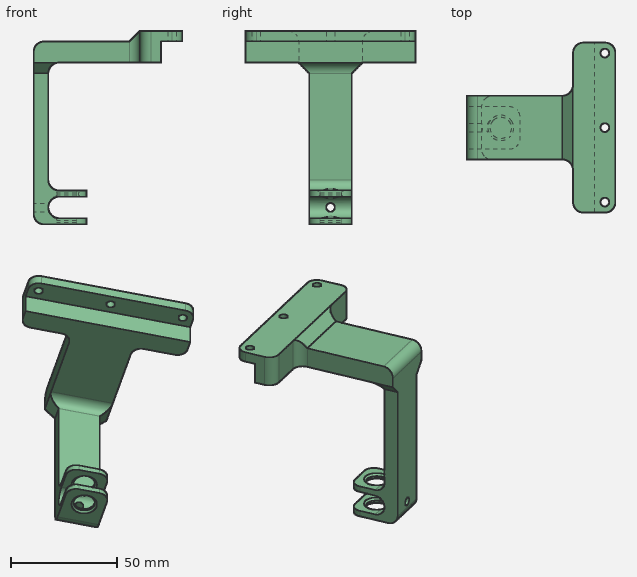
import cadquery as cq

TOTAL_LENGTH = 70.0
PLATE_WIDTH = 80.0
TOTAL_HEIGHT = 91.0

PLATE_LENGTH = 20.0
LIP_LENGTH = 10.0
LIP_THICKNESS = 5.0
MOUNT_HOLE_DIAMETER = 4.0
MOUNT_HOLE_EDGE_DISTANCE = 5.0

ARM_WIDTH = 30.0
ARM_THICKNESS = 10.0
ARM_DROP = 5.0

COLUMN_WIDTH = 20.0
COLUMN_THICKNESS = 7.0
FLARE_HEIGHT = 5.0

PRONG_REACH = 25.0
PRONG_THICKNESS = 3.0
PRONG_GAP = 10.0
PRONG_HOLE_DIAMETER = 10.0
PRONG_HOLE_CHAMFER = 1.0
COLUMN_HOLE_DIAMETER = 4.0

CORNER_RADIUS = 5.0

PLATE_X = TOTAL_LENGTH - PLATE_LENGTH
LIP_X = TOTAL_LENGTH - LIP_LENGTH
LIP_Z = TOTAL_HEIGHT - LIP_THICKNESS
ARM_TOP = TOTAL_HEIGHT - ARM_DROP
ARM_BOTTOM = ARM_TOP - ARM_THICKNESS
SLOPE_X = PLATE_X - ARM_DROP
FLARE_Z = ARM_BOTTOM - FLARE_HEIGHT
FORK_HEIGHT = 2 * PRONG_THICKNESS + PRONG_GAP
FORK_MID_Z = FORK_HEIGHT / 2
PRONG_HOLE_X = (COLUMN_THICKNESS + PRONG_REACH) / 2


def side_profile():
    """Full-width XZ profile of the bracket, with plain corners at the rounded bends."""
    outline = [
        (0, 0),
        (PRONG_REACH, 0),
        (PRONG_REACH, FORK_HEIGHT),
        (COLUMN_THICKNESS, FORK_HEIGHT),
        (COLUMN_THICKNESS, ARM_BOTTOM),
        (LIP_X, ARM_BOTTOM),
        (LIP_X, LIP_Z),
        (TOTAL_LENGTH, LIP_Z),
        (TOTAL_LENGTH, TOTAL_HEIGHT),
        (PLATE_X, TOTAL_HEIGHT),
        (SLOPE_X, ARM_TOP),
        (0, ARM_TOP),
    ]
    body = (
        cq.Workplane("XZ")
        .polyline(outline)
        .close()
        .extrude(PLATE_WIDTH / 2, both=True)
    )
    rounded_bends = [
        (0, 0),
        (0, ARM_TOP),
        (COLUMN_THICKNESS, FORK_HEIGHT),
        (COLUMN_THICKNESS, ARM_BOTTOM),
    ]
    for x, z in rounded_bends:
        bend = cq.selectors.NearestToPointSelector((x, 0, z))
        body = body.edges("|Y").edges(bend).fillet(CORNER_RADIUS)
    return body


def upper_envelope():
    """Plan shape of the arm and plate: a T with rounded corners."""
    height = TOTAL_HEIGHT - ARM_BOTTOM
    base = cq.Workplane("XY", origin=(0, 0, ARM_BOTTOM))
    plate = (
        base.center(PLATE_X + PLATE_LENGTH / 2, 0)
        .rect(PLATE_LENGTH, PLATE_WIDTH)
        .extrude(height)
        .edges("|Z")
        .fillet(CORNER_RADIUS)
    )
    arm_length = PLATE_X + PLATE_LENGTH / 2
    arm = base.center(arm_length / 2, 0).rect(arm_length, ARM_WIDTH).extrude(height)
    envelope = plate.union(arm)
    for y in (-ARM_WIDTH / 2, ARM_WIDTH / 2):
        inner_corner = cq.selectors.NearestToPointSelector((PLATE_X, y, ARM_BOTTOM + height / 2))
        envelope = envelope.edges("|Z").edges(inner_corner).fillet(CORNER_RADIUS)
    return envelope


def column_envelope():
    """YZ shape of the column, flared out to the arm width just below the arm."""
    return (
        cq.Workplane("YZ")
        .moveTo(-COLUMN_WIDTH / 2, 0)
        .lineTo(COLUMN_WIDTH / 2, 0)
        .lineTo(COLUMN_WIDTH / 2, FLARE_Z)
        .lineTo(ARM_WIDTH / 2, ARM_BOTTOM)
        .lineTo(-ARM_WIDTH / 2, ARM_BOTTOM)
        .lineTo(-COLUMN_WIDTH / 2, FLARE_Z)
        .close()
        .extrude(PRONG_REACH)
        .edges("|Z and >X")
        .fillet(CORNER_RADIUS)
    )


def fork_slot():
    """Gap between the prongs, closed by a half round at the column."""
    round_x = COLUMN_THICKNESS + PRONG_GAP / 2
    slot_top = PRONG_THICKNESS + PRONG_GAP
    return (
        cq.Workplane("XZ")
        .moveTo(PRONG_REACH, PRONG_THICKNESS)
        .lineTo(round_x, PRONG_THICKNESS)
        .threePointArc((COLUMN_THICKNESS, FORK_MID_Z), (round_x, slot_top))
        .lineTo(PRONG_REACH, slot_top)
        .close()
        .extrude(COLUMN_WIDTH / 2, both=True)
    )


def mounting_holes():
    """Three holes through the lip, in a row along Y."""
    hole_x = TOTAL_LENGTH - MOUNT_HOLE_EDGE_DISTANCE
    outer_y = PLATE_WIDTH / 2 - MOUNT_HOLE_EDGE_DISTANCE
    return (
        cq.Workplane("XY", origin=(0, 0, LIP_Z))
        .pushPoints([(hole_x, y) for y in (-outer_y, 0, outer_y)])
        .circle(MOUNT_HOLE_DIAMETER / 2)
        .extrude(LIP_THICKNESS)
    )


def hole_mouth(face_z, outward):
    """45 degree cone that chamfers the prong hole at face_z; outward is +1 or -1 along Z.

    The cone runs on past the face so that it also clears the rounded prong roots.
    """
    hole_radius = PRONG_HOLE_DIAMETER / 2
    cone_height = 2 * PRONG_HOLE_CHAMFER
    return cq.Workplane(
        cq.Solid.makeCone(
            hole_radius,
            hole_radius + cone_height,
            cone_height,
            pnt=cq.Vector(PRONG_HOLE_X, 0, face_z - outward * PRONG_HOLE_CHAMFER),
            dir=cq.Vector(0, 0, outward),
        )
    )


def prong_hole():
    """Vertical hole through both prongs, chamfered at all four mouths."""
    hole = (
        cq.Workplane("XY")
        .center(PRONG_HOLE_X, 0)
        .circle(PRONG_HOLE_DIAMETER / 2)
        .extrude(FORK_HEIGHT + CORNER_RADIUS)
    )
    for prong_bottom in (0, PRONG_THICKNESS + PRONG_GAP):
        hole = hole.union(hole_mouth(prong_bottom, -1))
        hole = hole.union(hole_mouth(prong_bottom + PRONG_THICKNESS, 1))
    return hole


def column_hole():
    """Horizontal hole through the column into the fork slot."""
    return (
        cq.Workplane("YZ")
        .center(0, FORK_MID_Z)
        .circle(COLUMN_HOLE_DIAMETER / 2)
        .extrude(PRONG_REACH)
    )


result = side_profile().intersect(upper_envelope().union(column_envelope()))
for cutter in (fork_slot(), mounting_holes(), prong_hole(), column_hole()):
    result = result.cut(cutter)